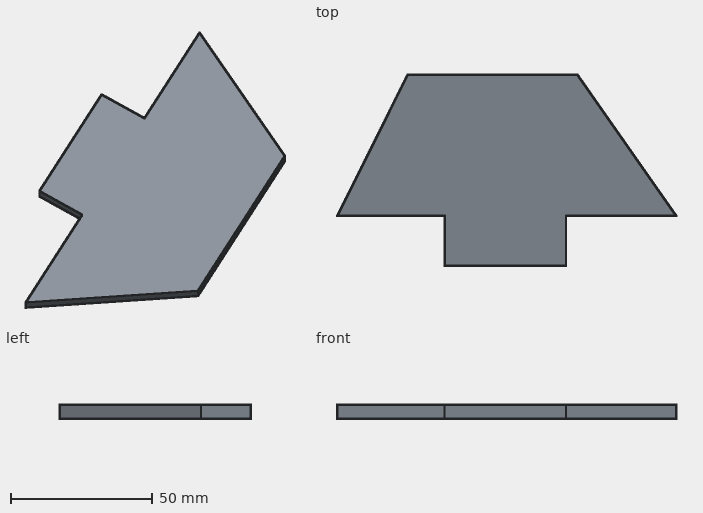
import cadquery as cq

base_width = 120.0
top_width = 60.0
left_slope_run = 25.0
body_depth = 50.0
thickness = 5.0

tab_offset = 38.0
tab_width = 43.0
tab_depth = 17.6

body = (
    cq.Workplane("XY")
    .polyline([
        (0, 0),
        (base_width, 0),
        (left_slope_run + top_width, body_depth),
        (left_slope_run, body_depth),
    ])
    .close()
    .extrude(thickness)
)

tab = (
    cq.Workplane("XY")
    .box(tab_width, tab_depth, thickness, centered=False)
    .translate((tab_offset, -tab_depth, 0))
)

result = body.union(tab)